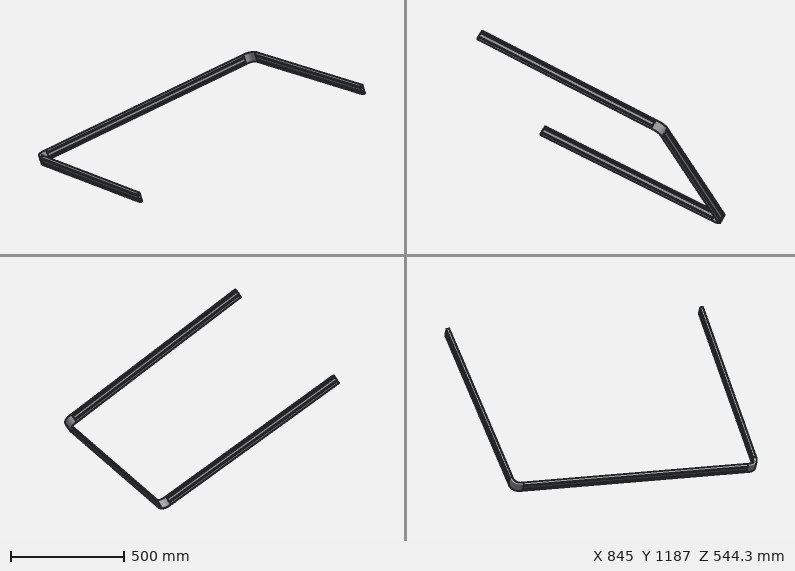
import cadquery as cq
import math

total_width = 1187.0
total_reach = 967.0
tilt_angle = 31.7
flare_angle = 3.0
section_width = 43.0
section_thickness = 13.0
edge_radius = 1.0
bend_radius = 42.0
corner_stub = 10.0
groove_offset = 11.0
groove_width = 4.2
groove_depth = 4.0

straight_turn = 90.0
flared_turn = straight_turn - flare_angle
leg_length = total_reach - bend_radius - corner_stub


def corner_end(turn):
    """Slope and Y distance from the bar end to the outer edge of the leg seam."""
    angle = math.radians(turn)
    along_slope = bend_radius * (1 - math.cos(angle)) + corner_stub * math.sin(angle)
    along_y = corner_stub + bend_radius * math.sin(angle) + corner_stub * math.cos(angle)
    return along_slope, along_y


near_bar_end = corner_end(straight_turn)[1]
far_rise = corner_end(flared_turn)[1]
flare_rise = leg_length * math.sin(math.radians(flare_angle))
far_bar_end = total_width - flare_rise - far_rise
bar_length = far_bar_end - near_bar_end

slope = math.radians(tilt_angle)
frame_plane = cq.Plane(
    origin=(0, 0, 0),
    xDir=(math.cos(slope), 0, math.sin(slope)),
    normal=(-math.sin(slope), 0, math.cos(slope)),
)


def section(grooved):
    """Rounded section in local X and Z with its outer face on x = 0."""
    profile = (
        cq.Sketch()
        .rect(section_thickness, section_width)
        .vertices()
        .fillet(edge_radius)
        .reset()
    )
    if grooved:
        groove_places = [
            (face * section_thickness / 2, side * groove_offset)
            for face in (-1, 1)
            for side in (-1, 1)
        ]
        profile = profile.push(groove_places).rect(2 * groove_depth, groove_width, mode="s").reset()
    return cq.Workplane("XZ", origin=(section_thickness / 2, 0, 0)).placeSketch(profile)


def make_rail(length):
    """Straight rail along local +Y, grooved on both wide faces."""
    return section(grooved=True).extrude(-length)


def make_corner(turn):
    """Plain corner leaving the bar along local +Y and turning toward local +X."""
    angle = math.radians(turn)
    middle_radius = bend_radius - section_thickness / 2

    def arc_point(swept):
        x = bend_radius - middle_radius * math.cos(swept)
        y = corner_stub + middle_radius * math.sin(swept)
        return x, y

    arc_end_x, arc_end_y = arc_point(angle)
    centre_line = (
        cq.Workplane("XY")
        .moveTo(section_thickness / 2, 0)
        .lineTo(section_thickness / 2, corner_stub)
        .threePointArc(arc_point(angle / 2), (arc_end_x, arc_end_y))
        .lineTo(arc_end_x + corner_stub * math.sin(angle), arc_end_y + corner_stub * math.cos(angle))
    )
    return section(grooved=False).sweep(centre_line)


def make_leg(turn):
    """Rail placed on the leg seam of a corner whose bar end is at the origin."""
    seam_u, seam_y = corner_end(turn)
    return (
        make_rail(leg_length)
        .rotate((0, 0, 0), (0, 0, 1), -turn)
        .translate((seam_u, seam_y, 0))
    )


def place(body):
    """Move a body from the frame's local axes to its tilted position."""
    return body.val().moved(cq.Location(frame_plane))


bar = place(make_rail(bar_length).translate((0, near_bar_end, 0)))

corners = []
legs = []
for turn, bar_end, mirrored in (
    (straight_turn, near_bar_end, True),
    (flared_turn, far_bar_end, False),
):
    for make_body, bodies in ((make_corner, corners), (make_leg, legs)):
        body = make_body(turn)
        if mirrored:
            body = body.mirror("XZ")
        bodies.append(place(body.translate((0, bar_end, 0))))

result = cq.Compound.makeCompound([bar, *corners, *legs])